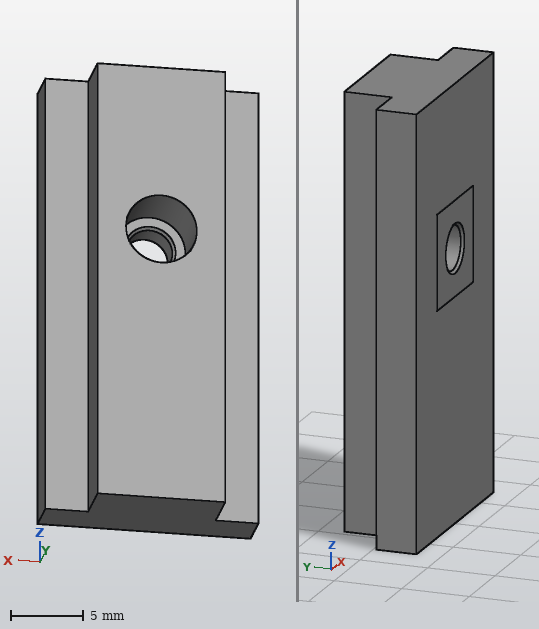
import cadquery as cq

length = 32.0
flange_width = 15.0
flange_thickness = 2.98
rib_width = 9.0
total_depth = 6.5

nut_side = 7.0
nut_thickness = 2.2
nut_height = 20.0
thread_diameter = 3.23
thread_chamfer = 0.2

clearance_diameter = 5.0


def box_on_front(width, depth, height, bottom):
    """Box centred on X = 0 that runs from the front face toward +Y."""
    return cq.Workplane("XY").box(width, depth, height, centered=(True, False, False)).translate((0, 0, bottom))


def bore(diameter):
    """Cylinder on the nut axis, through the full depth of the slider."""
    return (
        cq.Workplane("XZ", origin=(0, 0, nut_height))
        .circle(diameter / 2)
        .extrude(-total_depth)
    )


def nut_block():
    """Solid block of the nut's outer shape, which also forms its pocket."""
    return box_on_front(nut_side, nut_thickness, nut_side, nut_height - nut_side / 2)


def make_slider():
    flange = box_on_front(flange_width, flange_thickness, length, 0)
    rib = box_on_front(rib_width, total_depth, length, 0)
    return flange.union(rib).cut(nut_block()).cut(bore(clearance_diameter))


def make_nut():
    """Square nut whose bore is chamfered at both ends."""
    return nut_block().cut(bore(thread_diameter)).edges("%CIRCLE").chamfer(thread_chamfer)


slider = make_slider()
nut = make_nut()

result = cq.Compound.makeCompound([slider.val(), nut.val()])